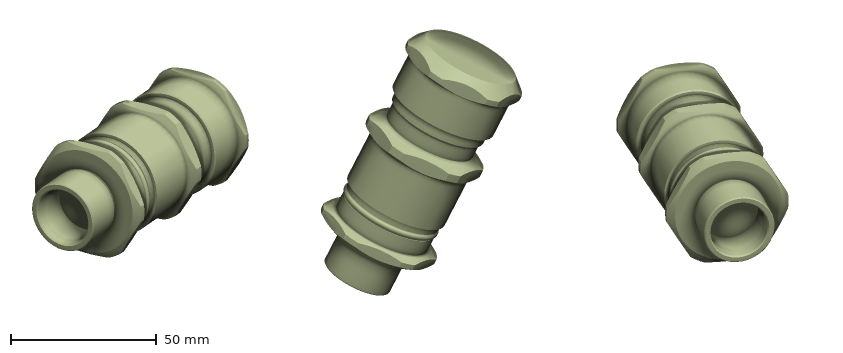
import cadquery as cq
import math

total_length = 89.9
across_flats = 40.0
nut_bevel_angle = math.radians(30)

nut_corner_radius = 21.75
back_nut_face_radius = 17.25
back_nut_end = 7.9

sleeve_radius = 38.6 / 2
sleeve_end = 22.0
sleeve_chamfer = 0.45

collar_radius = 35.0 / 2
collar_end = 26.8
neck_radius = 33.0 / 2
collar_chamfer = collar_radius - neck_radius

middle_nut_start = 32.1
middle_nut_end = 39.5
middle_nut_back_radius = 16.8
body_radius = 37.4 / 2
body_end = 58.8

ring_outer_radius = 36.0 / 2
ring_section_radius = 1.3
ring_station = 62.8
ring_groove_width = 2.7
ring_sink = 0.1
ring_groove_radius = ring_outer_radius - 2 * ring_section_radius + ring_sink

front_nut_start = 69.9
front_nut_end = 74.85
front_nut_corner_radius = 21.61
front_nut_face_radius = 19.0

relief_radius = 24.0 / 2
spigot_radius = 25.0 / 2
spigot_start = 76.4
spigot_chamfer = 0.4
bore_radius = 20.2 / 2
bore_depth = 14.0
bore_chamfer = 0.45


def turned(profile):
    """Revolve (radius, station) points, closed onto the axis, about Y."""
    outline = [(0, profile[0][1])] + profile + [(0, profile[-1][1])]
    points = [(radius, total_length - station) for radius, station in outline]
    return cq.Workplane("XY").polyline(points).close().revolve(360, (0, 0, 0), (0, 1, 0))


def beveled_hex(start, end, back_radius, front_radius, corner_radius, back_angle=nut_bevel_angle):
    """Hexagon with flats facing +/-Z, its corners turned round and both ends beveled."""
    back_bevel = (corner_radius - back_radius) * math.tan(back_angle)
    front_bevel = (corner_radius - front_radius) * math.tan(nut_bevel_angle)
    envelope = turned([
        (back_radius, start),
        (corner_radius, start + back_bevel),
        (corner_radius, end - front_bevel),
        (front_radius, end),
    ])
    across_corners = across_flats / math.cos(math.radians(30))
    prism = (
        cq.Workplane("XZ", origin=(0, total_length - start, 0))
        .polygon(6, across_corners)
        .extrude(end - start)
    )
    return prism.intersect(envelope)


core = turned([
    (back_nut_face_radius, 0),
    (back_nut_face_radius, back_nut_end / 2),
    (sleeve_radius, back_nut_end / 2),
    (sleeve_radius, sleeve_end - sleeve_chamfer),
    (sleeve_radius - sleeve_chamfer, sleeve_end),
    (collar_radius, sleeve_end),
    (collar_radius, collar_end - collar_chamfer),
    (neck_radius, collar_end),
    (neck_radius, middle_nut_end),
    (body_radius, middle_nut_end),
    (body_radius, body_end),
    (collar_radius, body_end),
    (collar_radius, ring_station - ring_groove_width / 2),
    (ring_groove_radius, ring_station - ring_groove_width / 2),
    (ring_groove_radius, ring_station + ring_groove_width / 2),
    (collar_radius, ring_station + ring_groove_width / 2),
    (collar_radius, front_nut_end),
    (relief_radius, front_nut_end),
    (relief_radius, spigot_start - (spigot_radius - relief_radius)),
    (spigot_radius, spigot_start),
    (spigot_radius, total_length - spigot_chamfer),
    (spigot_radius - spigot_chamfer, total_length),
])

back_nut = beveled_hex(
    0, back_nut_end, back_nut_face_radius, sleeve_radius, nut_corner_radius, math.radians(45)
)
middle_nut = beveled_hex(
    middle_nut_start, middle_nut_end, middle_nut_back_radius, body_radius, nut_corner_radius
)
front_nut = beveled_hex(
    front_nut_start, front_nut_end, front_nut_face_radius, front_nut_face_radius, front_nut_corner_radius
)

ring_center_radius = ring_outer_radius - ring_section_radius
seal_ring = (
    cq.Workplane("XY")
    .center(-ring_center_radius, total_length - ring_station)
    .circle(ring_section_radius)
    .revolve(360, (ring_center_radius, 0), (ring_center_radius, 1))
)

bore = turned([
    (bore_radius, total_length - bore_depth),
    (bore_radius, total_length - bore_chamfer),
    (bore_radius + bore_chamfer, total_length),
])

result = core.union(back_nut).union(middle_nut).union(front_nut).union(seal_ring).cut(bore)